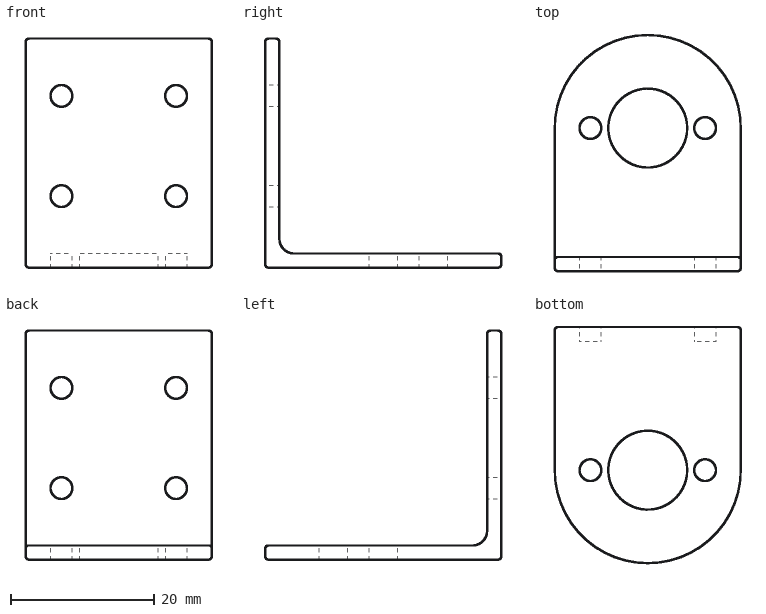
import cadquery as cq

width = 26.0
depth = 33.0
height = 32.0
thickness = 2.0
bend_radius = 2.0
edge_radius = 0.5

small_hole_diameter = 3.0
bore_diameter = 11.0
hole_spacing_x = 16.0
wall_hole_spacing_z = 14.0
lower_hole_height = 10.0

end_radius = width / 2
bore_y = depth - end_radius
wall_hole_center_z = lower_hole_height + wall_hole_spacing_z / 2


def make_base():
    """Horizontal plate with a half-round end at +Y."""
    return (
        cq.Workplane("XY")
        .moveTo(-width / 2, 0)
        .lineTo(width / 2, 0)
        .lineTo(width / 2, bore_y)
        .threePointArc((0, depth), (-width / 2, bore_y))
        .close()
        .extrude(thickness)
    )


def make_wall():
    """Vertical plate standing along the -Y edge of the base."""
    return cq.Workplane("XY").box(width, thickness, height, centered=(True, False, False))


def cut_base_holes(body):
    """Cut the central bore and the hole on each side of it."""
    bore = cq.Workplane("XY").center(0, bore_y).circle(bore_diameter / 2).extrude(thickness)
    side_holes = (
        cq.Workplane("XY")
        .center(0, bore_y)
        .rarray(hole_spacing_x, 0.33, 2, 1)
        .circle(small_hole_diameter / 2)
        .extrude(thickness)
    )
    return body.cut(bore).cut(side_holes)


def cut_wall_holes(body):
    """Cut the rectangular pattern of four holes through the wall."""
    holes = (
        cq.Workplane("XZ")
        .center(0, wall_hole_center_z)
        .rarray(hole_spacing_x, wall_hole_spacing_z, 2, 2)
        .circle(small_hole_diameter / 2)
        .extrude(-thickness)
    )
    return body.cut(holes)


bracket = make_base().union(make_wall())

inner_corner = cq.selectors.NearestToPointSelector((0, thickness, thickness))
bracket = bracket.edges(inner_corner).fillet(bend_radius)

bend_reach = thickness + 2 * bend_radius
bend_lines = cq.selectors.BoxSelector(
    (-width / 4, thickness / 2, thickness / 2),
    (width / 4, bend_reach, bend_reach),
)
rim_edges = bracket.edges(-bend_lines)
bracket = rim_edges.fillet(edge_radius)

result = cut_wall_holes(cut_base_holes(bracket))